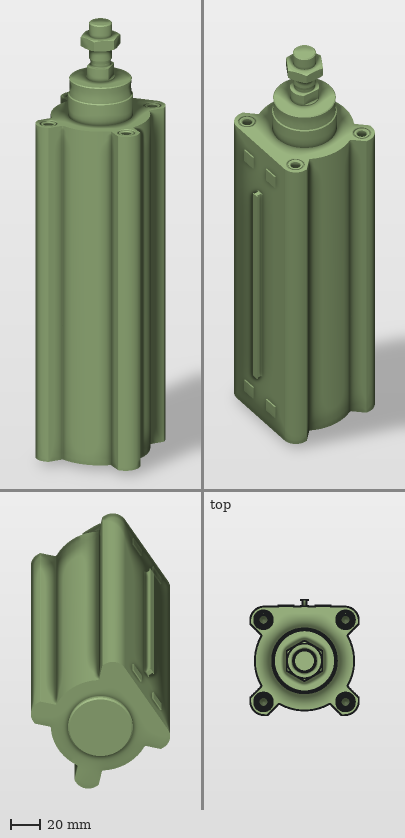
import cadquery as cq
import math

TOTAL_HEIGHT = 318.0
BODY_BOTTOM_Z = 4.0
BODY_TOP_Z = 250.0
COLLAR_STEP_Z = 265.5
COLLAR_TOP_Z = 277.5
ROD_SHOULDER_Z = 286.5
THREAD_BOTTOM_Z = 291.7

BODY_HEIGHT = BODY_TOP_Z - BODY_BOTTOM_Z
BODY_WIDTH = 75.0
HALF_WIDTH = BODY_WIDTH / 2
BARREL_RADIUS = 34.5
HOLE_OFFSET = 28.3
LUG_RADIUS = 10.0
LUG_CORNER = 25.5
FLANK_OFFSET = HALF_WIDTH - LUG_CORNER
LUG_FILLET = 0.5
ROOT_FILLET = 1.0

HOLE_MOUTH_DIAMETER = 13.0
RECESS_DIAMETER = 12.0
RECESS_CHAMFER = (HOLE_MOUTH_DIAMETER - RECESS_DIAMETER) / 2
RECESS_DEPTH = 1.3
SLEEVE_DIAMETER = 10.2
SLEEVE_TOP_DEPTH = 0.3
THREAD_MOUTH_DIAMETER = 8.0
THREAD_HOLE_DIAMETER = 6.7
THREAD_HOLE_DEPTH = 19.0
MOUTH_CHAMFER = (THREAD_MOUTH_DIAMETER - THREAD_HOLE_DIAMETER) / 2
DRILL_TIP_ANGLE = 118

COLLAR_DIAMETER = 45.0
COLLAR_LIP_DIAMETER = 43.3
COLLAR_WAIST_DIAMETER = 42.3
COLLAR_CHAMFER = 0.5
REAR_BOSS_DIAMETER = COLLAR_DIAMETER
REAR_BOSS_CHAMFER = 1.0

RAIL_FLANGE_WIDTH = 5.0
RAIL_WEB_WIDTH = 3.0
RAIL_FLANGE_THICKNESS = 0.5
RAIL_HEIGHT = 4.8
RAIL_BOTTOM_Z = 44.5
RAIL_TOP_Z = 209.5
PAD_WIDTH = 10.5
PAD_LENGTH = 10.0
PAD_THICKNESS = 1.0
PAD_OFFSET_X = 12.7
PAD_CENTRES_Z = (23.0, 231.3)

ROD_DIAMETER = 20.0
ROD_FLAT_WIDTH = 16.0
ROD_FLAT_BOTTOM_Z = 278.3
THREAD_DIAMETER = 16.0
THREAD_TIP_DIAMETER = 14.3
TIP_CHAMFER = (THREAD_DIAMETER - THREAD_TIP_DIAMETER) / 2
NECK_DIAMETER = 14.0
RUNOUT_DIAMETER = 15.0
RUNOUT_LENGTH = 2.5
NECK_FILLET = 0.5

NUT_ACROSS_FLATS = 24.2
NUT_HEIGHT = 8.0
NUT_BOTTOM_Z = 300.5
NUT_FACE_DIAMETER = 24.0
NUT_CHAMFER_ANGLE = 20
HEX_HALF_ANGLE = 30

Z_AXIS = ((0, 0, 0), (0, 1, 0))


def disc(diameter, bottom, top):
    """Upright cylinder about the Z axis."""
    return cq.Workplane("XY").workplane(offset=bottom).circle(diameter / 2).extrude(top - bottom)


def vertical_edge(x, y):
    """Selector for the upright body edge that passes through (x, y)."""
    reach = 0.3
    return cq.selectors.BoxSelector((x - reach, y - reach, 0), (x + reach, y + reach, TOTAL_HEIGHT))


def lug():
    """Lug at the +X +Y corner: a rounded tip and two 45 degree flanks reaching into the barrel."""
    arc_centre = HALF_WIDTH - LUG_RADIUS
    arc_middle = arc_centre + LUG_RADIUS * math.sqrt(0.5)
    inner = HALF_WIDTH / 2
    return (
        cq.Workplane("XY")
        .workplane(offset=BODY_BOTTOM_Z)
        .moveTo(inner, inner - FLANK_OFFSET)
        .lineTo(HALF_WIDTH, LUG_CORNER)
        .lineTo(HALF_WIDTH, arc_centre)
        .threePointArc((arc_middle, arc_middle), (arc_centre, HALF_WIDTH))
        .lineTo(LUG_CORNER, HALF_WIDTH)
        .lineTo(inner - FLANK_OFFSET, inner)
        .close()
        .extrude(BODY_HEIGHT)
        .edges(vertical_edge(HALF_WIDTH, LUG_CORNER) + vertical_edge(LUG_CORNER, HALF_WIDTH))
        .fillet(LUG_FILLET)
    )


def extrusion_body():
    """Round barrel with four corner lugs and a flat +Y side."""
    body = disc(2 * BARREL_RADIUS, BODY_BOTTOM_Z, BODY_TOP_Z)
    for turn in range(4):
        body = body.union(lug().rotate((0, 0, 0), (0, 0, 1), 90 * turn))
    flat_side = cq.Workplane("XY").box(
        2 * HOLE_OFFSET, HALF_WIDTH, BODY_HEIGHT, centered=(True, False, False)
    )
    body = body.union(flat_side.translate((0, 0, BODY_BOTTOM_Z)))

    root_far = FLANK_OFFSET / 2 + math.sqrt(BARREL_RADIUS**2 / 2 - FLANK_OFFSET**2 / 4)
    root_near = root_far - FLANK_OFFSET
    for side in (-1, 1):
        roots = (
            vertical_edge(side * root_far, root_near)
            + vertical_edge(side * root_far, -root_near)
            + vertical_edge(side * root_near, -root_far)
        )
        body = body.edges(roots).fillet(ROOT_FILLET)
    return body


def screw_hole():
    """Cutter for one lug hole: a ring groove around a sleeve face, and a hole with a drill tip."""
    r = THREAD_HOLE_DIAMETER / 2
    tip = r / math.tan(math.radians(DRILL_TIP_ANGLE / 2))
    return (
        cq.Workplane("XZ")
        .polyline(
            [
                (0, 0),
                (HOLE_MOUTH_DIAMETER / 2, 0),
                (RECESS_DIAMETER / 2, -RECESS_CHAMFER),
                (RECESS_DIAMETER / 2, -RECESS_DEPTH),
                (SLEEVE_DIAMETER / 2, -RECESS_DEPTH),
                (SLEEVE_DIAMETER / 2, -SLEEVE_TOP_DEPTH),
                (THREAD_MOUTH_DIAMETER / 2, -SLEEVE_TOP_DEPTH),
                (r, -SLEEVE_TOP_DEPTH - MOUTH_CHAMFER),
                (r, -THREAD_HOLE_DEPTH),
                (0, -THREAD_HOLE_DEPTH - tip),
            ]
        )
        .close()
        .revolve(360, *Z_AXIS)
    )


def collar():
    """Front collar: plain lower ring, and an upper ring with a shallow concave waist."""
    lip_bottom = COLLAR_TOP_Z - COLLAR_CHAMFER
    middle = (COLLAR_STEP_Z + lip_bottom) / 2
    return (
        cq.Workplane("XZ")
        .moveTo(0, BODY_TOP_Z)
        .lineTo(COLLAR_DIAMETER / 2, BODY_TOP_Z)
        .lineTo(COLLAR_DIAMETER / 2, COLLAR_STEP_Z - COLLAR_CHAMFER)
        .lineTo(COLLAR_DIAMETER / 2 - COLLAR_CHAMFER, COLLAR_STEP_Z)
        .lineTo(COLLAR_LIP_DIAMETER / 2, COLLAR_STEP_Z)
        .threePointArc((COLLAR_WAIST_DIAMETER / 2, middle), (COLLAR_LIP_DIAMETER / 2, lip_bottom))
        .lineTo(COLLAR_LIP_DIAMETER / 2 - COLLAR_CHAMFER, COLLAR_TOP_Z)
        .lineTo(0, COLLAR_TOP_Z)
        .close()
        .revolve(360, *Z_AXIS)
    )


def rail():
    """I-section label rail standing on the flat side."""
    length = RAIL_TOP_Z - RAIL_BOTTOM_Z

    def bar(width, bottom_y, top_y):
        shape = cq.Workplane("XY").box(width, top_y - bottom_y, length, centered=(True, False, False))
        return shape.translate((0, HALF_WIDTH + bottom_y, RAIL_BOTTOM_Z))

    foot = bar(RAIL_FLANGE_WIDTH, 0, RAIL_FLANGE_THICKNESS)
    web = bar(RAIL_WEB_WIDTH, 0, RAIL_HEIGHT)
    head = bar(RAIL_FLANGE_WIDTH, RAIL_HEIGHT - RAIL_FLANGE_THICKNESS, RAIL_HEIGHT)
    return web.union(foot).union(head)


def pad(x, z):
    """Thin pad on the flat side, centred at (x, z)."""
    plate = cq.Workplane("XY").box(PAD_WIDTH, PAD_THICKNESS, PAD_LENGTH, centered=(True, False, True))
    return plate.translate((x, HALF_WIDTH, z))


def make_housing():
    """Cylinder housing, with a bore in the collar for the rod."""
    housing = extrusion_body().union(collar())
    boss = disc(REAR_BOSS_DIAMETER, 0, BODY_BOTTOM_Z).faces("<Z").chamfer(REAR_BOSS_CHAMFER)
    housing = housing.union(boss).union(rail())
    for x in (-PAD_OFFSET_X, PAD_OFFSET_X):
        for z in PAD_CENTRES_Z:
            housing = housing.union(pad(x, z))
    for x in (-HOLE_OFFSET, HOLE_OFFSET):
        for y in (-HOLE_OFFSET, HOLE_OFFSET):
            housing = housing.cut(screw_hole().translate((x, y, BODY_TOP_Z)))
    return housing.cut(disc(ROD_DIAMETER, BODY_TOP_Z, COLLAR_TOP_Z))


def make_rod():
    """Piston rod with wrench flats, an undercut neck and a plain cylinder for the thread."""
    r_neck = NECK_DIAMETER / 2
    r_thread = THREAD_DIAMETER / 2
    r_fillet = r_neck + NECK_FILLET
    fillet_bulge = NECK_FILLET * (1 - math.sqrt(0.5))
    rod = (
        cq.Workplane("XZ")
        .moveTo(0, BODY_TOP_Z)
        .lineTo(ROD_DIAMETER / 2, BODY_TOP_Z)
        .lineTo(ROD_DIAMETER / 2, ROD_SHOULDER_Z)
        .lineTo(r_fillet, ROD_SHOULDER_Z)
        .threePointArc(
            (r_neck + fillet_bulge, ROD_SHOULDER_Z + fillet_bulge), (r_neck, ROD_SHOULDER_Z + NECK_FILLET)
        )
        .lineTo(r_neck, THREAD_BOTTOM_Z - RUNOUT_LENGTH)
        .lineTo(RUNOUT_DIAMETER / 2, THREAD_BOTTOM_Z)
        .lineTo(r_thread, THREAD_BOTTOM_Z)
        .lineTo(r_thread, TOTAL_HEIGHT - TIP_CHAMFER)
        .lineTo(THREAD_TIP_DIAMETER / 2, TOTAL_HEIGHT)
        .lineTo(0, TOTAL_HEIGHT)
        .close()
        .revolve(360, *Z_AXIS)
    )
    flat_length = ROD_SHOULDER_Z - ROD_FLAT_BOTTOM_Z
    for side in (-1, 1):
        cutter = cq.Workplane("XY").box(ROD_DIAMETER, ROD_DIAMETER, flat_length, centered=(True, True, False))
        offset = side * (ROD_FLAT_WIDTH + ROD_DIAMETER) / 2
        rod = rod.cut(cutter.translate((offset, 0, ROD_FLAT_BOTTOM_Z)))
    return rod


def make_nut():
    """Hexagon lock nut on the rod thread, chamfered at both faces, with flats facing +X and -X."""
    across_corners = NUT_ACROSS_FLATS / math.cos(math.radians(HEX_HALF_ANGLE))
    blank = (
        cq.Workplane("XY")
        .polygon(6, across_corners)
        .extrude(NUT_HEIGHT)
        .rotate((0, 0, 0), (0, 0, 1), HEX_HALF_ANGLE)
    )
    r_face = NUT_FACE_DIAMETER / 2
    r_corner = across_corners / 2
    drop = (r_corner - r_face) * math.tan(math.radians(NUT_CHAMFER_ANGLE))
    envelope = (
        cq.Workplane("XZ")
        .polyline(
            [
                (0, 0),
                (r_face, 0),
                (r_corner, drop),
                (r_corner, NUT_HEIGHT - drop),
                (r_face, NUT_HEIGHT),
                (0, NUT_HEIGHT),
            ]
        )
        .close()
        .revolve(360, *Z_AXIS)
    )
    nut = blank.intersect(envelope).translate((0, 0, NUT_BOTTOM_Z))
    return nut.cut(disc(THREAD_DIAMETER, NUT_BOTTOM_Z, NUT_BOTTOM_Z + NUT_HEIGHT))


housing = make_housing()
rod = make_rod()
nut = make_nut()

result = cq.Compound.makeCompound([housing.val(), rod.val(), nut.val()])